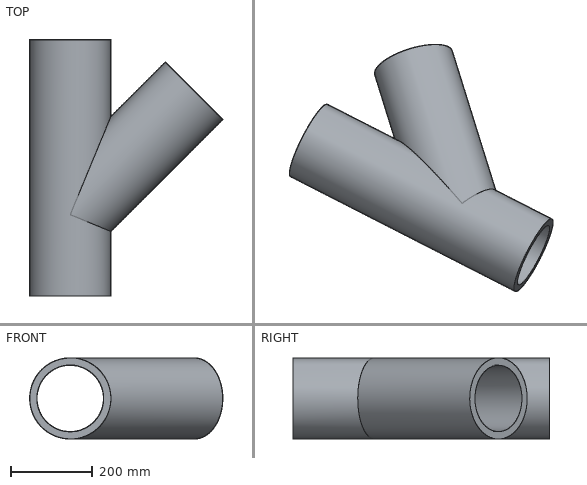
import cadquery as cq

outer_diameter = 200.0
wall = 18.0
outer_radius = outer_diameter / 2
bore_radius = outer_radius - wall

run_length = 630.0
junction_from_end = 200.5
branch_length = 430.0
branch_angle = 45.0


def run_cylinder(radius):
    """Full-length cylinder along Y, with the axes crossing at the origin."""
    start = cq.Vector(0, -junction_from_end, 0)
    return cq.Workplane(cq.Solid.makeCylinder(radius, run_length, start, cq.Vector(0, 1, 0)))


def branch_cylinder(radius):
    """Cylinder from the axis crossing to the open branch end."""
    cylinder = cq.Solid.makeCylinder(radius, branch_length, cq.Vector(), cq.Vector(0, 1, 0))
    return cq.Workplane(cylinder).rotate((0, 0, 0), (0, 0, 1), -branch_angle)


body = run_cylinder(outer_radius).union(branch_cylinder(outer_radius))
result = body.cut(run_cylinder(bore_radius)).cut(branch_cylinder(bore_radius))